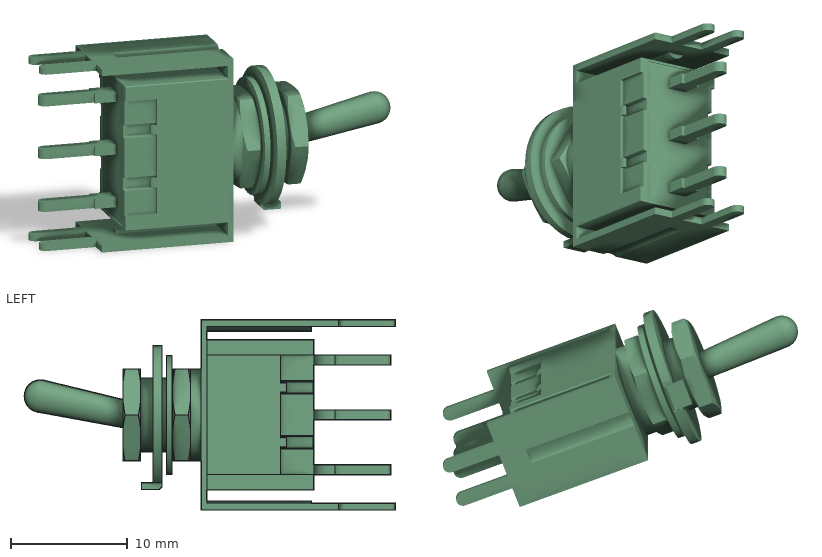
import cadquery as cq
import math


body_width = 7.92

bushing_diameter = 6.35
flange_diameter = 7.9
flange_length = 0.9
nut_thickness = 1.53
nut_across_flats = 7.9
nut_across_corners = nut_across_flats / math.cos(math.radians(30))
nut_chamfer_height = 0.2
nut_chamfer_angle = 20
rear_nut_y = flange_length
washer_diameter = 10.21
washer_thickness = 0.5
washer_y = 2.48
ring_diameter = 11.95
ring_thickness = 0.8
ring_y = 3.33
front_nut_y = 5.17
bushing_length = front_nut_y + nut_thickness

tab_width = 2.2
tab_length = 1.78
tab_thickness = 0.6
tab_bottom = -6.4
tab_chamfer = 0.25

lever_tilt = 12
lever_pivot_y = 6.2
lever_ball_radius = 1.4
lever_tip_y = 15.15
lever_ball_y = lever_tip_y - lever_ball_radius
lever_reach = (lever_ball_y - lever_pivot_y) / math.cos(math.radians(lever_tilt))
lever_pivot_radius = 1.18
lever_depth = 2.0

bracket_height = 16.31
bracket_web = 0.5
bracket_leg = 0.6
bracket_leg_end = -11.76
prong_end = -16.64
prong_width = 1.16
prong_pitch = 3.17
bead_end = -9.45
top_bead_radius = 0.95
top_bead_depth = 0.4
bottom_bead_radius = 1.25
bottom_bead_depth = 0.18

housing_height = 12.9
housing_end = -9.67
housing_edge_fillet = 0.11
end_recess_width = 6.44
end_recess_height = 12.52
end_recess_depth = 0.1
end_recess_corner = 0.15
terminal_pitch = 4.7
terminal_thickness = 0.86
terminal_base_width = 1.8
terminal_base_end = -11.48
terminal_width = 1.23
terminal_end = -16.27

clip_thickness = 0.3
clip_height = 10.24
clip_end = -6.82
hook_width = 0.8
hook_reach = 0.48
hook_angle = 45
groove_floor_width = 0.96
groove_mouth_width = 1.15
groove_depth = 0.7
hook_heights = [-terminal_pitch / 2, terminal_pitch / 2]


def block(x_range, y_range, z_range):
    """Box between the given limits."""
    size = [limits[1] - limits[0] for limits in (x_range, y_range, z_range)]
    corner = (x_range[0], y_range[0], z_range[0])
    return cq.Workplane("XY").box(*size, centered=False).translate(corner)


def disc(diameter, y, length):
    """Cylinder on the bushing axis, from y toward +Y."""
    return cq.Workplane("XZ", origin=(0, y, 0)).circle(diameter / 2).extrude(-length)


def blade(width, root_y, end_y, x, z, thickness):
    """Flat finger along -Y with a full round end, centred on x and z."""
    half = width / 2
    return (
        cq.Workplane("XY", origin=(x, 0, z - thickness / 2))
        .moveTo(-half, root_y)
        .lineTo(-half, end_y + half)
        .threePointArc((0, end_y), (half, end_y + half))
        .lineTo(half, root_y)
        .close()
        .extrude(thickness)
    )


def make_lever():
    """Tapered lever with a ball tip, tilted about its pivot."""
    taper = (lever_ball_radius - lever_pivot_radius) / lever_reach
    foot_radius = lever_pivot_radius - taper * lever_depth
    return (
        cq.Workplane("XY")
        .moveTo(0, -lever_depth)
        .lineTo(foot_radius, -lever_depth)
        .lineTo(lever_ball_radius, lever_reach)
        .radiusArc((0, lever_reach + lever_ball_radius), -lever_ball_radius)
        .close()
        .revolve(360, (0, 0, 0), (0, 1, 0))
        .rotate((0, 0, 0), (1, 0, 0), lever_tilt)
        .translate((0, lever_pivot_y, 0))
    )


def make_bushing(lever):
    """Flanged bushing with a socket that matches the lever."""
    flange = disc(flange_diameter, 0, flange_length)
    barrel = disc(bushing_diameter, 0, bushing_length)
    return flange.union(barrel).cut(lever)


def make_nut(y):
    """Hexagon nut with a corner on the X axis and both faces chamfered."""
    corner_radius = nut_across_corners / 2
    face_radius = corner_radius - nut_chamfer_height / math.tan(math.radians(nut_chamfer_angle))
    chamfer_envelope = (
        cq.Workplane("XY")
        .moveTo(0, 0)
        .lineTo(face_radius, 0)
        .lineTo(corner_radius, nut_chamfer_height)
        .lineTo(corner_radius, nut_thickness - nut_chamfer_height)
        .lineTo(face_radius, nut_thickness)
        .lineTo(0, nut_thickness)
        .close()
        .revolve(360, (0, 0, 0), (0, 1, 0))
    )
    return (
        cq.Workplane("XZ")
        .polygon(6, nut_across_corners)
        .extrude(-nut_thickness)
        .intersect(chamfer_envelope)
        .cut(disc(bushing_diameter, 0, nut_thickness))
        .translate((0, y, 0))
    )


def make_lock_washer():
    """Thin plain washer in front of the rear nut."""
    washer = disc(washer_diameter, washer_y, washer_thickness)
    return washer.cut(disc(bushing_diameter, washer_y, washer_thickness))


def make_locating_ring():
    """Thick washer with a tab bent forward at its lower edge."""
    tab_top = tab_bottom + tab_thickness
    ring = disc(ring_diameter, ring_y, ring_thickness)
    below_tab_top = block(
        (-ring_diameter / 2, ring_diameter / 2),
        (ring_y, ring_y + ring_thickness),
        (tab_bottom, tab_top),
    )
    tab = block(
        (-tab_width / 2, tab_width / 2),
        (ring_y, ring_y + tab_length),
        (tab_bottom, tab_top),
    )
    tab = tab.edges("<Y and <Z").chamfer(tab_chamfer)
    hole = disc(bushing_diameter, ring_y, ring_thickness)
    return ring.cut(below_tab_top).union(tab).cut(hole)


def bead(radius, depth, face_z, direction):
    """Round bar along Y that sinks by depth into a face; direction points out of the face."""
    centre_z = face_z + direction * (radius - depth)
    return (
        cq.Workplane("XZ", origin=(0, 0, centre_z))
        .circle(radius)
        .extrude(-bead_end)
    )


def make_bracket():
    """U-shaped bracket with a pressed bead and two solder prongs on each leg."""
    half_width = body_width / 2
    outer = bracket_height / 2
    inner = outer - bracket_leg
    bracket = block((-half_width, half_width), (bracket_leg_end, 0), (-outer, outer))
    bracket = bracket.cut(
        block((-half_width, half_width), (bracket_leg_end, -bracket_web), (-inner, inner))
    )
    bead_limits = block((-half_width, half_width), (bead_end, 0), (-outer, outer))
    legs = (
        (1, top_bead_radius, top_bead_depth),
        (-1, bottom_bead_radius, bottom_bead_depth),
    )
    for direction, radius, depth in legs:
        ridge = bead(radius, depth, direction * inner, direction).intersect(bead_limits)
        bracket = bracket.union(ridge)
        bracket = bracket.cut(bead(radius, depth, direction * outer, direction))
        for x in (-prong_pitch / 2, prong_pitch / 2):
            z = direction * (outer - bracket_leg / 2)
            bracket = bracket.union(blade(prong_width, bracket_leg_end, prong_end, x, z, bracket_leg))
    return bracket


def clip_hook(side, z):
    """Hook at the rear edge of a clip cheek, rolled inward; side is -1 or 1 along X."""
    outer_radius = hook_reach / math.sin(math.radians(hook_angle))
    inner_radius = outer_radius - clip_thickness
    bend_x = body_width / 2 - outer_radius

    def bend_point(radius, degrees):
        angle = math.radians(degrees)
        return (side * (bend_x + radius * math.cos(angle)), clip_end - radius * math.sin(angle))

    return (
        cq.Workplane("XY", origin=(0, 0, z - hook_width / 2))
        .moveTo(*bend_point(outer_radius, 0))
        .threePointArc(bend_point(outer_radius, hook_angle / 2), bend_point(outer_radius, hook_angle))
        .lineTo(*bend_point(inner_radius, hook_angle))
        .threePointArc(bend_point(inner_radius, hook_angle / 2), bend_point(inner_radius, 0))
        .close()
        .extrude(hook_width)
    )


def make_clip():
    """U-shaped sheet clip: a web behind the bracket and a cheek on each side of the housing."""
    half_width = body_width / 2
    inner = half_width - clip_thickness
    z_range = (-clip_height / 2, clip_height / 2)
    clip = block((-half_width, half_width), (clip_end, -bracket_web), z_range)
    clip = clip.cut(block((-inner, inner), (clip_end, -bracket_web - clip_thickness), z_range))
    for side in (-1, 1):
        for z in hook_heights:
            clip = clip.union(clip_hook(side, z))
    return clip


def hook_groove(side, z):
    """Groove with flared walls in a side of the housing, open at the terminal end."""
    mouth_x = side * (body_width / 2 - clip_thickness)
    floor_x = side * (body_width / 2 - groove_depth)
    return (
        cq.Workplane("XZ", origin=(0, clip_end, 0))
        .moveTo(mouth_x, z - groove_mouth_width / 2)
        .lineTo(floor_x, z - groove_floor_width / 2)
        .lineTo(floor_x, z + groove_floor_width / 2)
        .lineTo(mouth_x, z + groove_mouth_width / 2)
        .close()
        .extrude(clip_end - housing_end)
    )


def make_housing():
    """Housing with clip recesses, hook grooves, a shallow end recess and three terminals."""
    half_width = body_width / 2
    recess_x = half_width - clip_thickness
    half_height = housing_height / 2
    clip_z = (-clip_height / 2, clip_height / 2)
    housing = block((-half_width, half_width), (housing_end, -bracket_web), (-half_height, half_height))
    housing = housing.edges("|Y").fillet(housing_edge_fillet)

    web_space = block((-half_width, half_width), (-bracket_web - clip_thickness, -bracket_web), clip_z)
    housing = housing.cut(web_space)
    for x_range in ((-half_width, -recess_x), (recess_x, half_width)):
        housing = housing.cut(block(x_range, (housing_end, -bracket_web), clip_z))
    for side in (-1, 1):
        for z in hook_heights:
            housing = housing.cut(hook_groove(side, z))

    end_recess = (
        cq.Workplane("XZ", origin=(0, housing_end + end_recess_depth, 0))
        .rect(end_recess_width, end_recess_height)
        .extrude(end_recess_depth)
        .edges("|Y")
        .fillet(end_recess_corner)
    )
    housing = housing.cut(end_recess)

    root_y = housing_end + end_recess_depth
    for z in (-terminal_pitch, 0, terminal_pitch):
        base = block(
            (-terminal_base_width / 2, terminal_base_width / 2),
            (terminal_base_end, root_y),
            (z - terminal_thickness / 2, z + terminal_thickness / 2),
        )
        finger = blade(terminal_width, terminal_base_end, terminal_end, 0, z, terminal_thickness)
        housing = housing.union(base).union(finger)
    return housing


lever = make_lever()
bushing = make_bushing(lever)
nuts = [make_nut(y) for y in (rear_nut_y, front_nut_y)]
lock_washer = make_lock_washer()
locating_ring = make_locating_ring()
bracket = make_bracket()
clip = make_clip()
housing = make_housing()

result = cq.Compound.makeCompound([
    lever.val(),
    bushing.val(),
    *[nut.val() for nut in nuts],
    lock_washer.val(),
    locating_ring.val(),
    bracket.val(),
    clip.val(),
    housing.val(),
])